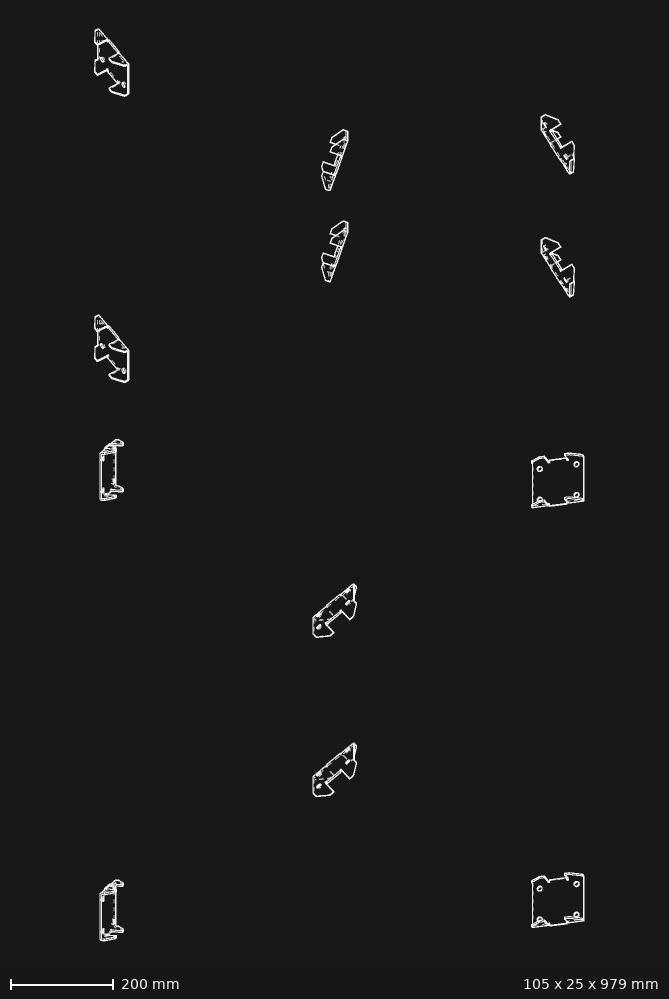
import cadquery as cq

total_height = 979.0
bracket_width = 105.0
bracket_depth = 25.0
bracket_height = 96.0

sheet = 3.6
inner_bend_radius = 1.0
outer_bend_radius = inner_bend_radius + sheet

ear_gap = 41.0
ear_tip_width = 10.0
ear_side_depth = 10.0

tongue_width = 35.0
relief_depth = outer_bend_radius

hole_diameter = 10.0
hole_spacing_x = 75.0
hole_spacing_z = 65.0

half_width = bracket_width / 2
half_height = bracket_height / 2
back_y = bracket_depth / 2
front_y = -bracket_depth / 2


def bent_channel():
    """U-shaped sheet with rounded bends, open toward -Y."""
    outer = (
        cq.Workplane("XY")
        .box(bracket_width, bracket_depth, bracket_height)
        .edges("|X and >Y")
        .fillet(outer_bend_radius)
    )
    inner = (
        cq.Workplane("XY")
        .box(bracket_width, bracket_depth, bracket_height - 2 * sheet)
        .edges("|X and >Y")
        .fillet(inner_bend_radius)
        .translate((0, -sheet, 0))
    )
    return outer.cut(inner)


def ear_taper():
    """Prism that trims the outer corners of the ears to a slope."""
    tip_x = ear_gap / 2 + ear_tip_width
    slope_start_y = back_y - ear_side_depth
    return (
        cq.Workplane("XY")
        .polyline([
            (-half_width, back_y),
            (half_width, back_y),
            (half_width, slope_start_y),
            (tip_x, front_y),
            (-tip_x, front_y),
            (-half_width, slope_start_y),
        ])
        .close()
        .extrude(half_height, both=True)
    )


def gap_between_ears():
    return cq.Workplane("XY").box(ear_gap, bracket_depth, bracket_height)


def plate_in_gap():
    """Flat sheet behind the gap, ending in a narrower tongue at the top and bottom."""
    body_height = bracket_height - 2 * relief_depth
    body = cq.Workplane("XY").box(ear_gap, sheet, body_height)
    tongues = cq.Workplane("XY").box(tongue_width, sheet, bracket_height)
    return body.union(tongues).translate((0, back_y - sheet / 2, 0))


def mounting_holes():
    return (
        cq.Workplane("XZ")
        .rect(hole_spacing_x, hole_spacing_z, forConstruction=True)
        .vertices()
        .circle(hole_diameter / 2)
        .extrude(bracket_depth, both=True)
    )


def make_bracket(center_z):
    bracket = bent_channel().intersect(ear_taper()).cut(gap_between_ears())
    bracket = bracket.union(plate_in_gap()).cut(mounting_holes())
    return bracket.translate((0, 0, center_z))


end_center_z = (total_height - bracket_height) / 2
brackets = [make_bracket(z) for z in (-end_center_z, end_center_z)]

result = cq.Compound.makeCompound([bracket.val() for bracket in brackets])